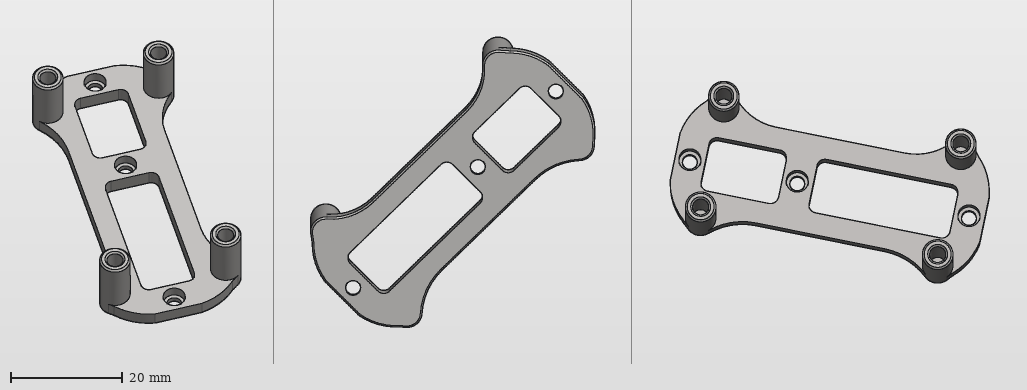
import cadquery as cq
import math

length = 56.9
half_length = length / 2
plate_thickness = 3.0
waist_half_width = 9.0
waist_arc_run = 9.95
end_flat_half_width = 4.4
end_arc_radius = 11.65
end_arc_outer_y = 11.05
end_arc_back_x = 25.1
end_arc_front_x = 24.7
edge_bevel = 0.35
bevel_angle = 45

total_height = 13.0
total_width = 26.3
post_diameter = 5.5
post_radius = post_diameter / 2
post_x_shift = 0.1
post_y_shift = 0.35
post_half_spacing_x = 21.8
post_half_spacing_y = total_width / 2 - post_radius
post_bore_diameter = 2.9
post_bore_mouth_diameter = 3.6
post_bore_mouth_angle = 90
post_bore_depth = total_height - plate_thickness

window_half_width = 5.0
window_corner_radius = 1.5
window_spans_x = [(-22.95, -8.7), (-3.1, 22.8)]

mount_hole_x = [-25.7, -6.0, 25.6]
mount_hole_diameter = 2.7
mount_counterbore_diameter = 4.0
mount_counterbore_depth = 2.0


def tangent_point_from(point, center, radius):
    """Point where the line from an outside point grazes a circle, on its outer (+X, +Y) side."""
    dx = point[0] - center[0]
    dy = point[1] - center[1]
    angle = math.atan2(dy, dx) + math.acos(radius / math.hypot(dx, dy))
    return (center[0] + radius * math.cos(angle), center[1] + radius * math.sin(angle))


def waist_arc(post_x, post_y):
    """Start, middle and end of the arc that leaves the waist edge and runs smoothly into a post."""
    start_x = post_x - waist_arc_run
    rise = post_y - waist_half_width
    radius = (waist_arc_run**2 + rise**2 - post_radius**2) / (2 * (rise + post_radius))
    center_y = waist_half_width + radius
    sweep = math.atan2(waist_arc_run, center_y - post_y)

    def point_at(angle):
        return (start_x + radius * math.sin(angle), center_y - radius * math.cos(angle))

    return point_at(0), point_at(sweep / 2), point_at(sweep)


def corner_plate(post_x, post_y, end_arc_x):
    """One quarter of the plate in the +X +Y quadrant, above the bottom bevel.

    The outline cuts in to the post's axis; the post itself rounds the corner.
    """
    end_arc_start = (half_length, end_flat_half_width)
    end_arc_end = (end_arc_x, end_arc_outer_y)
    waist_arc_start, waist_arc_middle, waist_arc_end = waist_arc(post_x, post_y)
    outer_touch = tangent_point_from(end_arc_end, (post_x, post_y), post_radius)
    return (
        cq.Workplane("XY", origin=(0, 0, edge_bevel))
        .lineTo(0, waist_half_width)
        .lineTo(*waist_arc_start)
        .threePointArc(waist_arc_middle, waist_arc_end)
        .lineTo(post_x, post_y)
        .lineTo(*outer_touch)
        .lineTo(*end_arc_end)
        .radiusArc(end_arc_start, end_arc_radius)
        .lineTo(half_length, 0)
        .close()
        .extrude(plate_thickness - edge_bevel)
    )


def half_plate(x_side):
    """The +X (x_side = 1) or -X (x_side = -1) half of the plate, above the bottom bevel."""
    post_x = post_half_spacing_x + x_side * post_x_shift
    back = corner_plate(post_x, post_half_spacing_y + post_y_shift, end_arc_back_x)
    front = corner_plate(post_x, post_half_spacing_y - post_y_shift, end_arc_front_x)
    half = back.union(front.mirror("XZ"))
    return half if x_side > 0 else half.mirror("YZ")


def post():
    """Post from the plate's bevel up, with a blind bore ending level with the plate's top face."""
    return (
        cq.Workplane("XY", origin=(0, 0, edge_bevel))
        .circle(post_radius)
        .extrude(total_height - edge_bevel)
        .faces(">Z")
        .chamfer(edge_bevel)
        .faces(">Z")
        .workplane()
        .cskHole(post_bore_diameter, post_bore_mouth_diameter, post_bore_mouth_angle, post_bore_depth)
    )


def plate_with_posts():
    body = half_plate(1).union(half_plate(-1))
    for x_side in (-1, 1):
        for y_side in (-1, 1):
            x = x_side * post_half_spacing_x + post_x_shift
            y = y_side * post_half_spacing_y + post_y_shift
            body = body.union(post().translate((x, y, 0)))
    body = body.clean()
    outline = body.faces("<Z").wires().toPending()
    bevel = outline.workplane().extrude(edge_bevel, combine=False, taper=bevel_angle)
    return body.union(bevel)


def window(x_min, x_max):
    return (
        cq.Workplane("XY")
        .center((x_min + x_max) / 2, 0)
        .rect(x_max - x_min, 2 * window_half_width)
        .extrude(plate_thickness)
        .edges("|Z")
        .fillet(window_corner_radius)
    )


part = plate_with_posts()
for x_min, x_max in window_spans_x:
    part = part.cut(window(x_min, x_max))
part = (
    part.copyWorkplane(cq.Workplane("XY", origin=(0, 0, plate_thickness)))
    .pushPoints([(x, 0) for x in mount_hole_x])
    .cboreHole(mount_hole_diameter, mount_counterbore_diameter, mount_counterbore_depth)
)

result = part